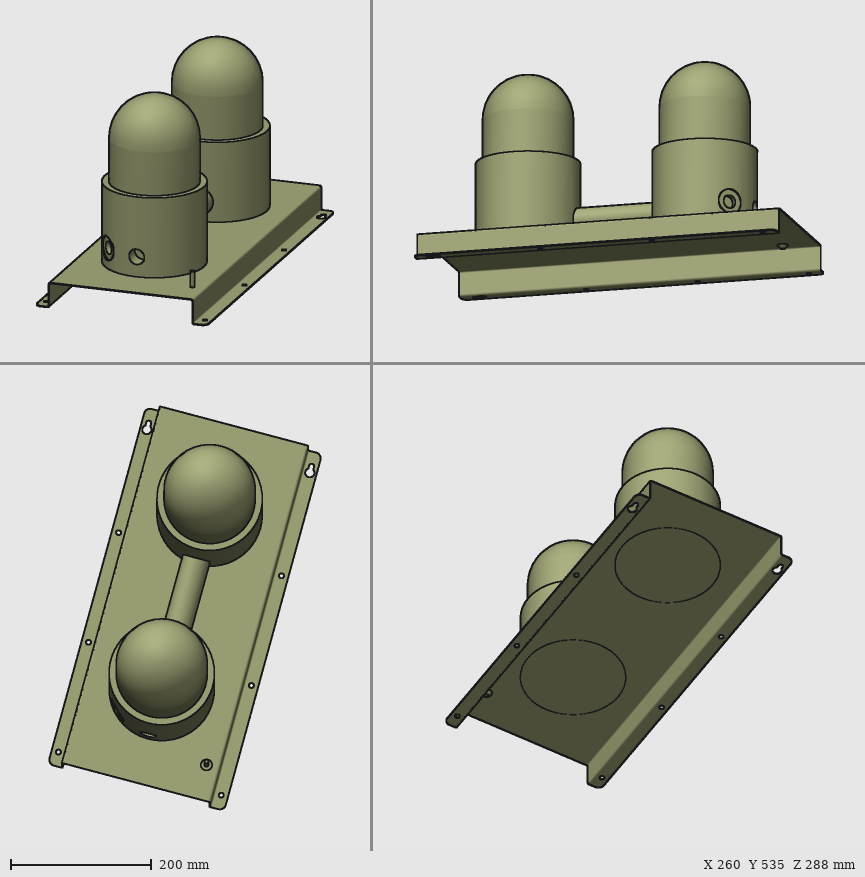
import cadquery as cq
import math

BRACKET_WIDTH = 260.0
BRACKET_LENGTH = 535.0
BRACKET_HEIGHT = 38.0
SHEET = 1.5
DECK_WIDTH = 219.0
BEND_INNER_RADIUS = 2.0
BEND_OUTER_RADIUS = BEND_INNER_RADIUS + SHEET
FLANGE_CORNER_RADIUS = 9.0

HOLES_PER_FLANGE = 4
HOLE_PITCH = 164.5
HOLE_DIAMETER = 7.0
HOLE_X = 120.0
KEYHOLE_DIAMETER = 13.0
KEYHOLE_DROP = 10.0

BODY_RADIUS = 75.0
BODY_HEIGHT = 120.0
DOME_RADIUS = 65.0
DOME_CENTRE_Z = BRACKET_HEIGHT + BODY_HEIGHT + DOME_RADIUS
REAR_VESSEL_Y = 134.5
VESSEL_SPACING = 261.5
FRONT_VESSEL_Y = REAR_VESSEL_Y - VESSEL_SPACING

PORT_Z = BRACKET_HEIGHT + 30.0
PIPE_DIAMETER = 40.0
FRONT_PORT_ANGLE = 270.0
FRONT_PORT_DIAMETER = 23.0
FRONT_PORT_DEPTH = 25.0
SIDE_PORT_ANGLE = 225.0
SPOT_FACE_DIAMETER = 36.0
SPOT_FACE_DISTANCE = 72.0
SIDE_PORT_DIAMETER = 19.0
SIDE_PORT_DEPTH = 8.0

STUD_X = 90.0
STUD_Y = -216.5
STUD_DIAMETER = 6.0
STUD_TOP_Z = BRACKET_HEIGHT + 24.0
STUD_HEAD_DIAMETER = 16.0
STUD_HEAD_TIP_DIAMETER = 6.0
STUD_HEAD_HEIGHT = 5.0


def select_bend(body, x, z):
    """Lengthwise edges at distance x to both sides of the centre plane, at height z."""
    reach = SHEET / 4
    right = cq.selectors.BoxSelector((x - reach, -reach, z - reach), (x + reach, reach, z + reach))
    left = cq.selectors.BoxSelector((-x - reach, -reach, z - reach), (-x + reach, reach, z + reach))
    return body.edges("|Y").edges(right + left)


def make_bracket():
    """Bent sheet, extruded along Y."""
    flange_edge = BRACKET_WIDTH / 2
    wall_outside = DECK_WIDTH / 2
    wall_inside = wall_outside - SHEET
    deck_underside = BRACKET_HEIGHT - SHEET
    outline = [
        (-flange_edge, 0),
        (-wall_inside, 0),
        (-wall_inside, deck_underside),
        (wall_inside, deck_underside),
        (wall_inside, 0),
        (flange_edge, 0),
        (flange_edge, SHEET),
        (wall_outside, SHEET),
        (wall_outside, BRACKET_HEIGHT),
        (-wall_outside, BRACKET_HEIGHT),
        (-wall_outside, SHEET),
        (-flange_edge, SHEET),
    ]
    bracket = cq.Workplane("XZ").polyline(outline).close().extrude(BRACKET_LENGTH / 2, both=True)

    for x, z in [(wall_outside, BRACKET_HEIGHT), (wall_inside, 0)]:
        bracket = select_bend(bracket, x, z).fillet(BEND_OUTER_RADIUS)
    for x, z in [(wall_inside, deck_underside), (wall_outside, SHEET)]:
        bracket = select_bend(bracket, x, z).fillet(BEND_INNER_RADIUS)
    return bracket.edges("|Z").edges("<X or >X").fillet(FLANGE_CORNER_RADIUS)


def make_flange_cutters():
    """Hole and keyhole cutters for both flanges."""
    rear_hole_y = (HOLES_PER_FLANGE - 1) / 2 * HOLE_PITCH
    hole_centres = []
    keyhole_centres = []
    for x in (-HOLE_X, HOLE_X):
        for row in range(HOLES_PER_FLANGE):
            hole_centres.append((x, rear_hole_y - row * HOLE_PITCH))
        keyhole_centres.append((x, rear_hole_y - KEYHOLE_DROP))
    slot_centres = [(x, y + KEYHOLE_DROP / 2) for x, y in keyhole_centres]

    plane = cq.Workplane("XY")
    holes = plane.pushPoints(hole_centres).circle(HOLE_DIAMETER / 2).extrude(SHEET)
    keyholes = plane.pushPoints(keyhole_centres).circle(KEYHOLE_DIAMETER / 2).extrude(SHEET)
    slots = plane.pushPoints(slot_centres).rect(HOLE_DIAMETER, KEYHOLE_DROP).extrude(SHEET)
    return holes.union(keyholes).union(slots)


def make_vessel(y):
    """Wide cylinder, narrower cylinder and a hemispherical cap."""
    base = cq.Workplane("XY", origin=(0, y, BRACKET_HEIGHT))
    body = base.circle(BODY_RADIUS).extrude(BODY_HEIGHT)
    neck = base.circle(DOME_RADIUS).extrude(BODY_HEIGHT + DOME_RADIUS)
    dome = cq.Workplane("XY").sphere(DOME_RADIUS).translate((0, y, DOME_CENTRE_Z))
    return body.union(neck).union(dome)


def make_pipe():
    """Pipe joining the two vessels."""
    start = cq.Workplane("XZ", origin=(0, REAR_VESSEL_Y, PORT_Z))
    return start.circle(PIPE_DIAMETER / 2).extrude(VESSEL_SPACING)


def make_port_cutter(angle, diameter, face_distance, depth):
    """Radial cutter on the front vessel, from outside it down to a depth below the given face."""
    outward = (math.cos(math.radians(angle)), math.sin(math.radians(angle)), 0)
    floor_distance = face_distance - depth
    floor_centre = (outward[0] * floor_distance, FRONT_VESSEL_Y + outward[1] * floor_distance, PORT_Z)
    floor = cq.Workplane(cq.Plane(origin=floor_centre, normal=outward))
    return floor.circle(diameter / 2).extrude(BODY_RADIUS - floor_distance)


def make_stud():
    """Stud standing on the deck, with a tapered head under the sheet."""
    head_top = BRACKET_HEIGHT - SHEET
    head_plane = cq.Workplane("XY", origin=(STUD_X, STUD_Y, head_top))
    shank = head_plane.circle(STUD_DIAMETER / 2).extrude(STUD_TOP_Z - head_top)
    taper = math.degrees(math.atan((STUD_HEAD_DIAMETER - STUD_HEAD_TIP_DIAMETER) / 2 / STUD_HEAD_HEIGHT))
    head = head_plane.circle(STUD_HEAD_DIAMETER / 2).extrude(-STUD_HEAD_HEIGHT, taper=taper)
    return shank.union(head)


bracket = make_bracket().cut(make_flange_cutters())
vessels = make_vessel(REAR_VESSEL_Y).union(make_vessel(FRONT_VESSEL_Y)).union(make_pipe())
front_port = make_port_cutter(FRONT_PORT_ANGLE, FRONT_PORT_DIAMETER, BODY_RADIUS, FRONT_PORT_DEPTH)
spot_face = make_port_cutter(SIDE_PORT_ANGLE, SPOT_FACE_DIAMETER, SPOT_FACE_DISTANCE, 0)
side_port = make_port_cutter(SIDE_PORT_ANGLE, SIDE_PORT_DIAMETER, SPOT_FACE_DISTANCE, SIDE_PORT_DEPTH)
vessels = vessels.cut(front_port).cut(spot_face).cut(side_port)
result = bracket.union(vessels).union(make_stud())